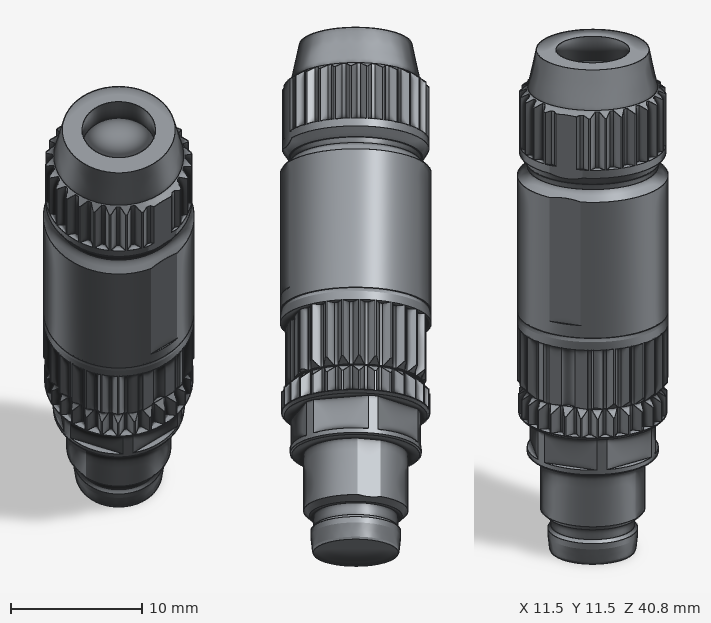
import cadquery as cq
import math

z_top = 40.8
z_cone_base = 37.75
z_cap_shoulder = 37.3
z_cap_rim = 33.1
z_cap_rim_base = 32.45
z_neck_top = 31.75
z_body_neck = 31.3
z_body_flat = 20.45
z_body_base = 19.42
z_collar = 19.1
z_grip = 18.45
z_grip_chamfer = 13.95
z_nut = 13.42
z_nut_chamfer = 12.8
z_nut_ledge = 11.25
z_hex = 11.0
z_nut_lower_chamfer = 11.2
z_flange = 8.35
z_plug = 7.87
z_plug_chamfer = 3.35
z_plug_neck = 2.95
z_tip_cone = 2.0
z_tip = 1.75
z_tip_taper = 1.25
z_tip_chamfer = 0.15

tip_d = 6.85
tip_end_d = 6.6
tip_face_d = 6.5
plug_neck_d = 6.4
plug_shoulder_d = 7.1
plug_d = 7.95
flange_d = 10.0
nut_d = 11.3
nut_top_d = 9.9
nut_bottom_d = 10.9
grip_d = 11.5
grip_bottom_d = 10.5
body_d = 11.5
body_step_d = 11.3
cap_base_d = 10.2
neck_d = 10.0
cap_d = 11.18
cone_base_d = 9.9
cap_top_d = 8.6
cable_bore_d = 5.6
cable_bore_depth = 1.95

cap_flats = 10.85
body_flats = 11.2
grip_flats = 10.0
hex_flats = 9.0
plug_flats = 7.75
flange_edge = 0.12

cap_grooves = 28
cap_groove_depth = 0.55
cap_side_groove_depth = 0.25
cap_root_width = 0.3
cap_key_width = 1.15
grip_grooves = 28
grip_groove_depth = 0.57
grip_root_width = 0.25
nut_grooves = 28
nut_groove_depth = 0.65
nut_root_width = 0.2
crest_width = 0.1

grip_face_width = 3.75
grip_corner_r = 0.8
grip_corner_turn = 60
channel_r = 0.65
channel_depth = 0.33

cutter_size = 2 * body_d
cutter_overlap = 0.2


def turned_body():
    """Whole connector turned about Z."""
    body_chamfer_z = z_body_neck - (body_d - neck_d) / 2
    return (
        cq.Workplane("XZ")
        .moveTo(0, 0)
        .lineTo(tip_face_d / 2, 0)
        .lineTo(tip_end_d / 2, z_tip_chamfer)
        .lineTo(tip_d / 2, z_tip_taper)
        .lineTo(tip_d / 2, z_tip)
        .lineTo(plug_neck_d / 2, z_tip_cone)
        .lineTo(plug_neck_d / 2, z_plug_neck)
        .lineTo(plug_shoulder_d / 2, z_plug_neck)
        .lineTo(plug_d / 2, z_plug_chamfer)
        .lineTo(plug_d / 2, z_plug)
        .lineTo(flange_d / 2 - flange_edge, z_plug)
        .lineTo(flange_d / 2, z_plug + flange_edge)
        .lineTo(flange_d / 2, z_hex)
        .lineTo(nut_bottom_d / 2, z_hex)
        .lineTo(nut_d / 2, z_nut_lower_chamfer)
        .lineTo(nut_d / 2, z_nut_chamfer)
        .lineTo(nut_top_d / 2, z_nut)
        .lineTo(grip_bottom_d / 2, z_nut)
        .lineTo(grip_d / 2, z_grip_chamfer)
        .lineTo(grip_d / 2, z_collar)
        .lineTo(body_step_d / 2, z_body_base)
        .lineTo(body_d / 2, z_body_base)
        .lineTo(body_d / 2, body_chamfer_z)
        .lineTo(neck_d / 2, z_body_neck)
        .lineTo(neck_d / 2, z_neck_top)
        .lineTo(cap_base_d / 2, z_neck_top)
        .lineTo(cap_d / 2, z_cap_rim_base)
        .lineTo(cap_d / 2, z_cap_shoulder)
        .lineTo(cone_base_d / 2, z_cone_base)
        .lineTo(cap_top_d / 2, z_top)
        .lineTo(0, z_top)
        .close()
        .revolve(360, (0, 0, 0), (0, 1, 0))
    )


def slab_waste(z_low, z_high, flats, turn=0):
    """Material outside two parallel flats; the flats face X before turning."""
    height = z_high - z_low
    block = cq.Workplane("XY", origin=(0, 0, z_low)).rect(cutter_size, cutter_size).extrude(height)
    core = cq.Workplane("XY", origin=(0, 0, z_low)).rect(flats, cutter_size).extrude(height)
    return block.cut(core).rotate((0, 0, 0), (0, 0, 1), turn)


def groove_waste(z_low, z_high, outer_d, depth, count, root_width, angle):
    """One tapered groove with a flat root, sized for a ring of `count` grooves."""
    outer_r = outer_d / 2
    root_r = outer_r - depth
    half_root = root_width / 2
    half_mouth = math.pi * outer_r / count - crest_width / 2
    half_outside = half_mouth + cutter_overlap * (half_mouth - half_root) / depth
    return (
        cq.Workplane("XY", origin=(0, 0, z_low))
        .moveTo(root_r, -half_root)
        .lineTo(outer_r + cutter_overlap, -half_outside)
        .lineTo(outer_r + cutter_overlap, half_outside)
        .lineTo(root_r, half_root)
        .close()
        .extrude(z_high - z_low)
        .rotate((0, 0, 0), (0, 0, 1), angle)
    )


def cut_all(part, cutters):
    return cq.Workplane(part.val().cut(*[cutter.val() for cutter in cutters]))


def cut_cap_knurl(part):
    """Cap grooves; each X side has a plain key strip with a shallow groove on either side of it."""
    key = cq.Workplane("XY").rect(cutter_size, cap_key_width).extrude(z_top)
    half_turn = cap_grooves // 2
    grooves = []
    for i in range(cap_grooves):
        place = i % half_turn
        if place == 0:
            continue
        beside_key = place in (1, half_turn - 1)
        depth = cap_side_groove_depth if beside_key else cap_groove_depth
        angle = i * 360 / cap_grooves
        groove = groove_waste(z_cap_rim, z_cone_base, cap_d, depth, cap_grooves, cap_root_width, angle)
        grooves.append(groove.cut(key))
    return cut_all(part, grooves)


def cut_round_knurl(part, z_low, z_high, outer_d, depth, count, root_width):
    """Unbroken ring of grooves with crests on the X and Y axes."""
    pitch = 360 / count
    grooves = [
        groove_waste(z_low, z_high, outer_d, depth, count, root_width, (i + 0.5) * pitch)
        for i in range(count)
    ]
    return cut_all(part, grooves)


def grip_face_waste():
    """Material outside the +X grip face: a flat with rounded ends and a round channel down its middle."""
    face_x = grip_flats / 2
    face_y = grip_face_width / 2
    height = z_grip - z_nut

    def corner_point(turn):
        angle = math.radians(turn)
        x = face_x - grip_corner_r * (1 - math.cos(angle))
        return x, face_y + grip_corner_r * math.sin(angle)

    mid_x, mid_y = corner_point(grip_corner_turn / 2)
    end_x, end_y = corner_point(grip_corner_turn)
    side_angle = math.radians(2.5 * 360 / grip_grooves)
    root_r = grip_d / 2 - grip_groove_depth
    root_x, root_y = root_r * math.cos(side_angle), root_r * math.sin(side_angle)
    out_x, out_y = grip_d * math.cos(side_angle), grip_d * math.sin(side_angle)
    waste = (
        cq.Workplane("XY", origin=(0, 0, z_nut))
        .moveTo(face_x, -face_y)
        .lineTo(face_x, face_y)
        .threePointArc((mid_x, mid_y), (end_x, end_y))
        .lineTo(root_x, root_y)
        .lineTo(out_x, out_y)
        .lineTo(out_x, -out_y)
        .lineTo(root_x, -root_y)
        .lineTo(end_x, -end_y)
        .threePointArc((mid_x, -mid_y), (face_x, -face_y))
        .close()
        .extrude(height)
    )
    channel = (
        cq.Workplane("XY", origin=(face_x + channel_r - channel_depth, 0, z_nut))
        .circle(channel_r)
        .extrude(height)
    )
    return waste.union(channel)


result = turned_body()

result = cut_cap_knurl(result)
result = result.cut(slab_waste(z_body_neck, z_top, cap_flats))
result = result.cut(slab_waste(z_body_flat, z_body_neck, body_flats))
cable_bore = cq.Workplane("XY", origin=(0, 0, z_top)).circle(cable_bore_d / 2).extrude(-cable_bore_depth)
result = result.cut(cable_bore)

result = cut_round_knurl(result, z_nut, z_grip, grip_d, grip_groove_depth, grip_grooves, grip_root_width)
for turn in (0, 180):
    result = result.cut(grip_face_waste().rotate((0, 0, 0), (0, 0, 1), turn))

result = cut_round_knurl(result, z_nut_ledge, z_nut, nut_d, nut_groove_depth, nut_grooves, nut_root_width)
for turn in (0, 60, 120):
    result = result.cut(slab_waste(z_flange, z_hex, hex_flats, turn))

result = result.cut(slab_waste(z_plug_neck, z_plug, plug_flats, 90))